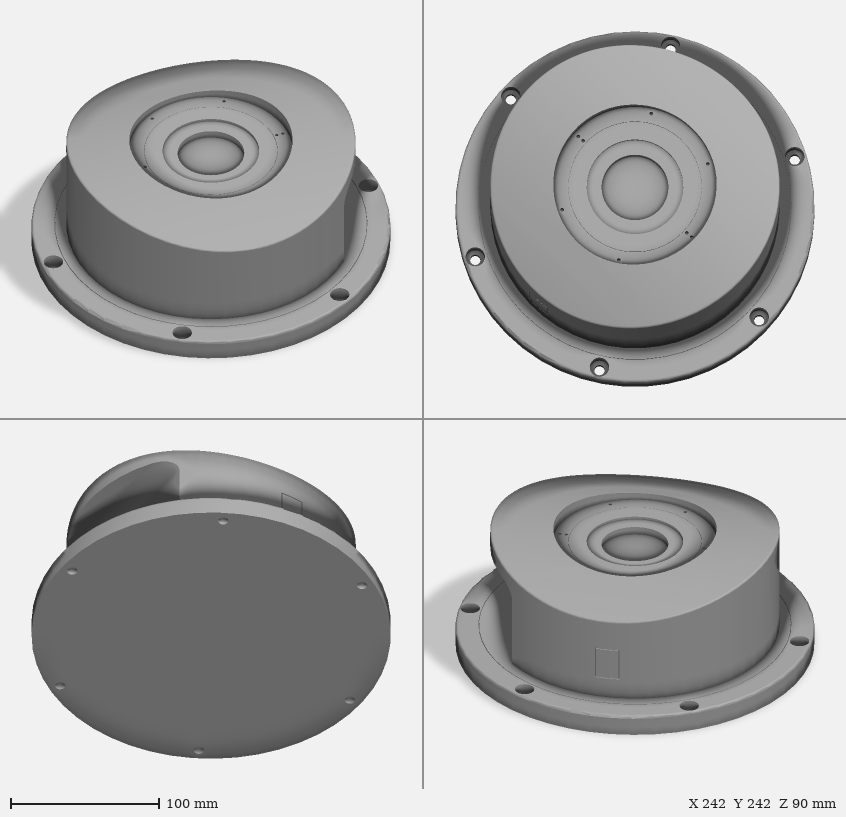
import cadquery as cq

flange_diameter = 242.0
flange_height = 14.5
flange_fillet = 2.0
flange_groove_diameter = 211.0

body_diameter = 195.0
body_radius = body_diameter / 2
total_height = 90.0
edge_drop = 16.5
crown_radius = (body_radius**2 + edge_drop**2) / (2 * edge_drop)
rim_fillet = 1.5

undercut_wall_y = 71.1
undercut_top_z = 75.5
undercut_fillet = 12.0

recess_steps = [(110.0, 79.9), (65.0, 77.7), (45.0, 72.0)]
recess_floor_z = recess_steps[0][1]
recess_groove_diameter = 90.0

screw_count = 6
screw_radius = 113.0
screw_diameter = 7.0
head_diameter = 13.0
head_depth = 10.0

pin_diameter = 2.5
pin_depth = 4.8
outer_pin_radius = 51.5
outer_pin_count = 6
inner_pin_radius = 47.2
inner_pin_count = 2

recess_groove_width = 0.2
flange_groove_width = 0.5
groove_depth = 1.0

panel_width = 17.0
panel_height = 23.0
panel_center_z = 40.7
panel_groove_width = 0.7
panel_groove_depth = 1.5


def cylinder(diameter, bottom, top):
    return cq.Workplane("XY").workplane(offset=bottom).circle(diameter / 2).extrude(top - bottom)


def ring_groove(outer_diameter, width, top):
    inner = cylinder(outer_diameter - 2 * width, top - groove_depth, top)
    return cylinder(outer_diameter, top - groove_depth, top).cut(inner)


def make_body():
    blank = cylinder(body_diameter, 0, total_height)
    crown = (
        cq.Workplane("XZ")
        .center(0, total_height - crown_radius)
        .circle(crown_radius)
        .extrude(body_radius, both=True)
    )
    body = blank.intersect(crown)
    rim = body.faces(cq.selectors.NearestToPointSelector((0, 0, total_height))).edges()
    return rim.fillet(rim_fillet)


def make_undercut():
    length_y = body_radius - undercut_wall_y
    height = undercut_top_z - flange_height
    return (
        cq.Workplane("XY")
        .box(body_diameter, length_y, height, centered=(True, False, False))
        .edges("|X and <Y and >Z").fillet(undercut_fillet)
        .translate((0, undercut_wall_y, flange_height))
    )


def make_flange():
    flange = cylinder(flange_diameter, 0, flange_height).faces(">Z").edges().fillet(flange_fillet)
    drilled = (
        flange.faces(">Z").workplane(origin=(0, 0, flange_height))
        .polarArray(screw_radius, 90, 360, screw_count)
        .cboreHole(screw_diameter, head_diameter, head_depth)
    )
    return drilled.cut(ring_groove(flange_groove_diameter, flange_groove_width, flange_height))


def pin_holes(pattern_radius, count):
    return (
        cq.Workplane("XY").workplane(offset=recess_floor_z - pin_depth)
        .polarArray(pattern_radius, 90, 360, count)
        .circle(pin_diameter / 2).extrude(pin_depth)
    )


def make_panel_groove():
    return (
        cq.Workplane("YZ").workplane(offset=-body_radius)
        .center(0, panel_center_z)
        .rect(panel_width, panel_height)
        .rect(panel_width - 2 * panel_groove_width, panel_height - 2 * panel_groove_width)
        .extrude(panel_groove_depth)
    )


body = make_body().cut(make_undercut())
result = make_flange().union(body)
for diameter, floor in recess_steps:
    result = result.cut(cylinder(diameter, floor, total_height))
result = result.cut(ring_groove(recess_groove_diameter, recess_groove_width, recess_floor_z))
result = result.cut(pin_holes(outer_pin_radius, outer_pin_count))
result = result.cut(pin_holes(inner_pin_radius, inner_pin_count))
result = result.cut(make_panel_groove())